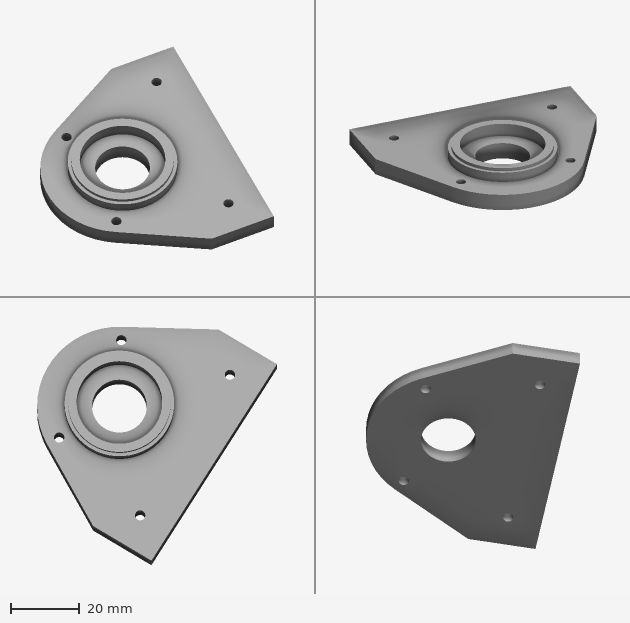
import cadquery as cq
import math

plate_width = 69.85
plate_length = 56.5
plate_thickness = 5.0
nose_radius = 24.0
straight_side = 20.0

overall_height = 9.0
boss_diameter = 32.0
rim_diameter = 30.0
rim_height = 1.0

seat_diameter = 25.0
seat_depth = 4.0
bore_diameter = 16.0

hole_diameter = 3.0
back_hole_spacing = 49.95
back_hole_inset = 10.0
front_hole_circle_radius = 20.0
front_hole_angle = 30.0

half_width = plate_width / 2
back_y = plate_length - nose_radius
corner_y = back_y - straight_side


def make_plate():
    """Plate whose slanted sides run tangent into the round nose."""
    corner_distance = math.hypot(half_width, corner_y)
    corner_angle = math.atan2(corner_y, half_width)
    tangent_angle = corner_angle - math.acos(nose_radius / corner_distance)
    tangent_x = nose_radius * math.cos(tangent_angle)
    tangent_y = nose_radius * math.sin(tangent_angle)
    return (
        cq.Workplane("XY")
        .moveTo(-half_width, back_y)
        .lineTo(half_width, back_y)
        .lineTo(half_width, corner_y)
        .lineTo(tangent_x, tangent_y)
        .threePointArc((0, -nose_radius), (-tangent_x, tangent_y))
        .lineTo(-half_width, corner_y)
        .close()
        .extrude(plate_thickness)
    )


def cylinder(diameter, bottom, top):
    """Cylinder on the bearing axis between two heights."""
    return cq.Workplane("XY").workplane(offset=bottom).circle(diameter / 2).extrude(top - bottom)


def make_mounting_holes():
    """Two through holes near the back edge and two beside the nose."""
    back_x = back_hole_spacing / 2
    back_hole_y = back_y - back_hole_inset
    angle = math.radians(front_hole_angle)
    front_x = front_hole_circle_radius * math.cos(angle)
    front_y = -front_hole_circle_radius * math.sin(angle)
    centers = []
    for side in (-1, 1):
        centers.append((side * back_x, back_hole_y))
        centers.append((side * front_x, front_y))
    return cq.Workplane("XY").pushPoints(centers).circle(hole_diameter / 2).extrude(plate_thickness)


boss = cylinder(boss_diameter, 0, overall_height - rim_height)
rim = cylinder(rim_diameter, 0, overall_height)
seat = cylinder(seat_diameter, overall_height - seat_depth, overall_height)
bore = cylinder(bore_diameter, 0, overall_height)

result = make_plate().union(boss).union(rim).cut(seat).cut(bore).cut(make_mounting_holes())